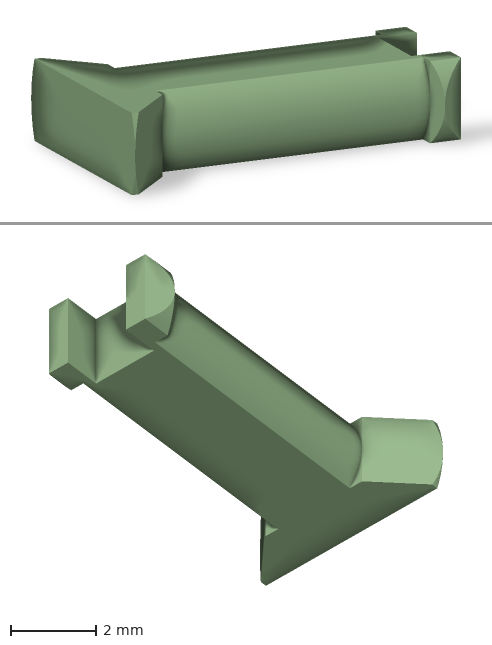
import cadquery as cq

length = 9.1
thickness = 2.0
half_thickness = thickness / 2

head_radius = 2.85
shank_radius = 1.5
head_length = head_radius - shank_radius

barb_length = 0.8
barb_height = 0.4
tip_to_barb_peak = 0.6
slot_width = 1.8
slot_depth = 1.0

shank_end = length - barb_length
barb_reach = shank_radius + barb_height


def flat_sided_rod(radius, start, end):
    """Round rod along Y, cut flat to the part thickness."""
    rod = cq.Workplane("XZ", origin=(0, start, 0)).circle(radius).extrude(start - end)
    flats = cq.Workplane("XY").box(2 * radius, 2 * length, thickness)
    return rod.intersect(flats)


def extruded_outline(points):
    """Closed XY outline extruded through the full thickness."""
    return cq.Workplane("XY").polyline(points).close().extrude(half_thickness, both=True)


def make_head():
    wedge = extruded_outline([
        (-head_radius, 0),
        (head_radius, 0),
        (shank_radius, head_length),
        (-shank_radius, head_length),
    ])
    return wedge.intersect(flat_sided_rod(head_radius, 0, head_length))


def make_shank():
    return flat_sided_rod(shank_radius, head_length, shank_end)


def make_barbed_tip():
    """Square block with pointed sides, the points bowed across the thickness."""
    barb_peak = length - tip_to_barb_peak
    wedges = extruded_outline([
        (-shank_radius, shank_end),
        (shank_radius, shank_end),
        (barb_reach, barb_peak),
        (shank_radius, length),
        (-shank_radius, length),
        (-barb_reach, barb_peak),
    ])
    bowed_section = (
        cq.Workplane("XZ", origin=(0, shank_end, 0))
        .moveTo(-shank_radius, -half_thickness)
        .lineTo(shank_radius, -half_thickness)
        .threePointArc((barb_reach, 0), (shank_radius, half_thickness))
        .lineTo(-shank_radius, half_thickness)
        .threePointArc((-barb_reach, 0), (-shank_radius, -half_thickness))
        .close()
        .extrude(-barb_length)
    )
    return wedges.intersect(bowed_section)


def make_slot():
    """Open slot that splits the tip into two arms."""
    slot_floor = length - slot_depth
    return extruded_outline([
        (-slot_width / 2, slot_floor),
        (slot_width / 2, slot_floor),
        (slot_width / 2, length),
        (-slot_width / 2, length),
    ])


result = make_head().union(make_shank()).union(make_barbed_tip()).cut(make_slot())